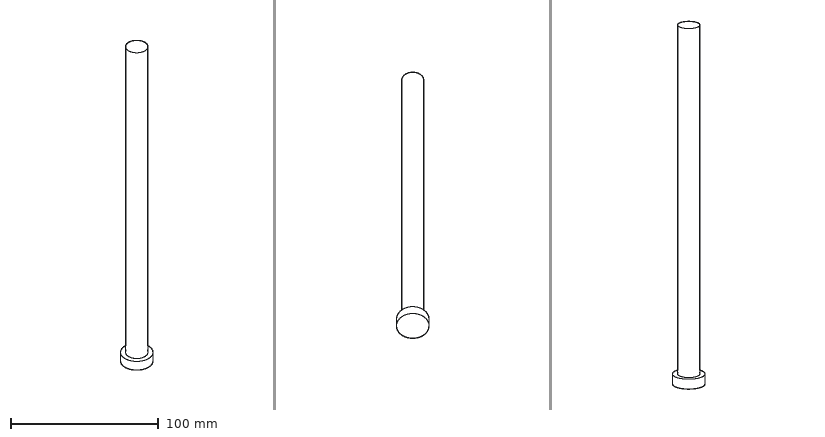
import cadquery as cq

total_length = 257.0
head_diameter = 22.0
head_height = 7.2
shaft_diameter = 15.2

head = cq.Workplane("XY").circle(head_diameter / 2).extrude(head_height)
shaft = cq.Workplane("XY").circle(shaft_diameter / 2).extrude(total_length)

result = head.union(shaft)